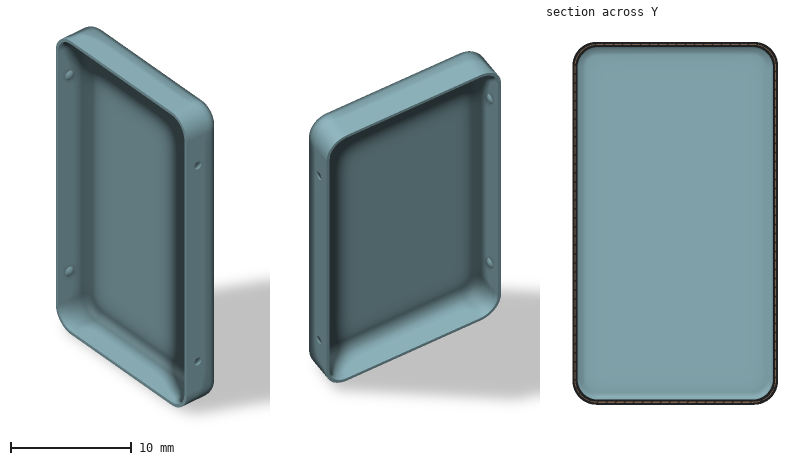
import cadquery as cq
import math

WIDTH = 16.9
DEPTH = 3.5
HEIGHT = 29.9
WALL = 0.3
CORNER_RADIUS = 2.0
EDGE_RADIUS = 1.0

BUMP_SPACING = 20.0
BUMP_SETBACK = 1.2
DIMPLE_RADIUS = 0.37
DIMPLE_DEPTH = 0.2
BUMP_RADIUS = 0.46
BUMP_HEIGHT = 0.2
SHANK_LENGTH = WALL / 2


def rounded_tray(inset):
    """Solid block with rounded corners and closed-face edge, offset inward by inset."""
    return (
        cq.Workplane("XZ")
        .rect(WIDTH - 2 * inset, HEIGHT - 2 * inset)
        .extrude(-(DEPTH - inset))
        .edges("|Y")
        .fillet(CORNER_RADIUS - inset)
        .faces(">Y")
        .edges()
        .fillet(EDGE_RADIUS - inset)
    )


def dome(wall_x, z, rim_radius, rise):
    """Domed pin pointing to +X: its cap rises from the plane at wall_x, its shank lies behind it."""
    ball_radius = (rim_radius**2 + rise**2) / (2 * rise)
    half_angle = math.asin(rim_radius / ball_radius) / 2
    ball_center = rise - ball_radius
    arc_middle = (
        ball_center + ball_radius * math.cos(half_angle),
        ball_radius * math.sin(half_angle),
    )
    return (
        cq.Workplane("XY", origin=(wall_x, BUMP_SETBACK, z))
        .moveTo(-SHANK_LENGTH, 0)
        .lineTo(rise, 0)
        .threePointArc(arc_middle, (0, rim_radius))
        .lineTo(-SHANK_LENGTH, rim_radius)
        .close()
        .revolve(360, (0, 0, 0), (1, 0, 0))
    )


def add_bump_pair(body, z):
    """Facing bumps on both long walls, each with a hollow in the outer wall face."""
    outer_x = -WIDTH / 2
    bump = dome(outer_x + WALL, z, BUMP_RADIUS, BUMP_HEIGHT)
    hollow = dome(outer_x, z, DIMPLE_RADIUS, DIMPLE_DEPTH)
    body = body.union(bump).union(bump.mirror("YZ"))
    return body.cut(hollow).cut(hollow.mirror("YZ"))


result = rounded_tray(0).cut(rounded_tray(WALL))
for bump_z in (-BUMP_SPACING / 2, BUMP_SPACING / 2):
    result = add_bump_pair(result, bump_z)